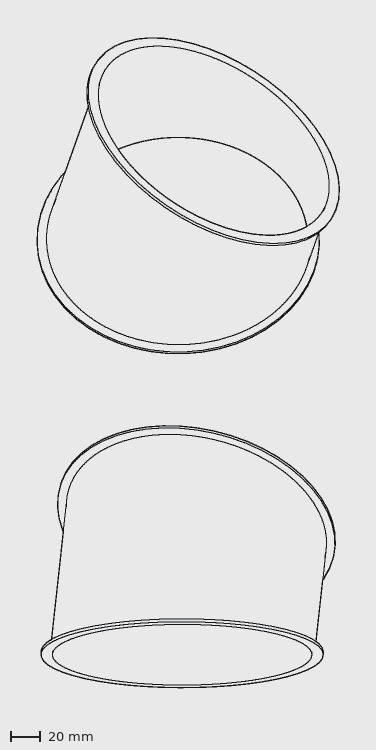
import cadquery as cq
import math

flange_diameter = 190.0
flange_thickness = 2.0
tube_diameter = 178.3
wall = 1.8
bend_angle = 30.0
overall_height = 145.5

axis_angle = bend_angle / 2
top_z = overall_height - flange_diameter / 2 * math.sin(math.radians(bend_angle))
top_y = top_z * math.tan(math.radians(axis_angle))
axis_length = math.hypot(top_y, top_z)

base_plane = cq.Plane.XY()
axis_plane = base_plane.rotated((-axis_angle, 0, 0))
top_plane = cq.Plane(origin=(0, top_y, top_z)).rotated((-bend_angle, 0, 0))


def oblique_cylinder(diameter):
    """Elliptical cylinder along the tube axis, circular where it meets either flange plane."""
    radius_x = diameter / 2
    radius_y = radius_x * math.cos(math.radians(axis_angle))
    overrun = diameter / 2
    return (
        cq.Workplane(axis_plane)
        .workplane(offset=-overrun)
        .ellipse(radius_x, radius_y)
        .extrude(axis_length + 2 * overrun)
    )


def flange(plane, thickness):
    """Flat disc growing from the given plane; a negative thickness grows downwards."""
    return cq.Workplane(plane).circle(flange_diameter / 2).extrude(thickness)


def space_between_end_faces():
    """Block bounded by the two outer end faces."""
    size = 4 * flange_diameter
    above_base = cq.Workplane(base_plane).rect(size, size).extrude(size)
    below_top = cq.Workplane(top_plane).rect(size, size).extrude(-size)
    return above_base.intersect(below_top)


tube = oblique_cylinder(tube_diameter).intersect(space_between_end_faces())
bore = oblique_cylinder(tube_diameter - 2 * wall)

result = (
    tube
    .union(flange(base_plane, flange_thickness))
    .union(flange(top_plane, -flange_thickness))
    .cut(bore)
)